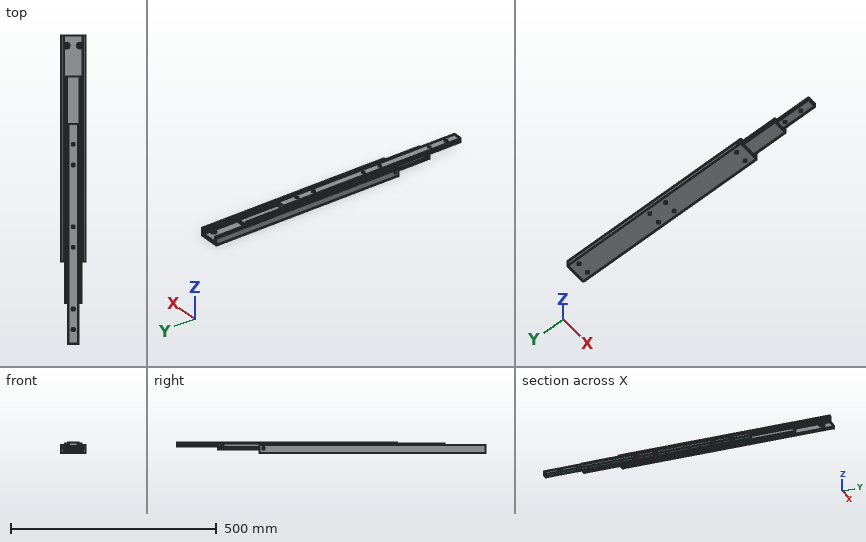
import cadquery as cq

extension_step = 100.0
rail_length = 550.0
inner_length = 535.0
inner_start = 0.0
middle_start = inner_start + extension_step
outer_start = middle_start + extension_step

outer_width = 60.0
outer_height = 20.0
outer_wall = 7.0
outer_floor = 6.0
outer_chamfer = 0.5
outer_inside = outer_width - 2 * outer_wall

middle_width = 40.0
middle_bottom = 8.0
middle_top = 23.0
middle_wall = 5.0
middle_floor_top = 14.0
middle_inside = middle_width - 2 * middle_wall

inner_width = 25.0
inner_bottom = 16.0
inner_top = 26.0

lower_race_height = 12.0
lower_race_width = 4.5
lower_race_depth = 0.8

upper_race_height = 20.5
upper_race_width = 5.0
middle_inside_race_depth = 1.0
inner_race_depth = 1.5

mount_spacing = 32.0
mount_hole_diameter = 6.5
mount_head_diameter = 13.0
mount_head_angle = 90.0
mount_offsets = [25.0, 250.0, 300.0, 525.0]

stop_hole_offset = 10.0
stop_hole_diameter = 4.0
outer_stop_height = 11.5
middle_stop_height = 19.0

inner_hole_diameter = 6.5
inner_hole_first = 35.0
inner_pair_gap = 50.0
inner_pair_pitch = 200.0
inner_pair_count = 3


def section(start):
    """XZ sketch plane at the front end of a rail."""
    return cq.Workplane("XZ", origin=(0, start, 0))


def bar(width, bottom, top, start, length):
    """Rectangular bar centred on X = 0 and running in +Y from start."""
    height = top - bottom
    return section(start).center(0, bottom + height / 2).rect(width, height).extrude(-length)


def races(side, height, width, depth, start, length):
    """Mirrored pair of V-groove cutters on the faces X = +side and X = -side.

    A positive depth cuts away from the centre plane, a negative one towards it.
    """
    groove = (
        section(start)
        .moveTo(side, height - width / 2)
        .lineTo(side + depth, height)
        .lineTo(side, height + width / 2)
        .close()
        .extrude(-length)
    )
    return groove.union(groove.mirror("YZ"))


def lower_races(side, depth, start):
    return races(side, lower_race_height, lower_race_width, depth, start, rail_length)


def upper_races(side, depth, start, length):
    return races(side, upper_race_height, upper_race_width, depth, start, length)


def stop_hole(start, height):
    """Cross bore along X through both side walls of a channel."""
    return (
        cq.Workplane("YZ")
        .center(start + stop_hole_offset, height)
        .circle(stop_hole_diameter / 2)
        .extrude(outer_width, both=True)
    )


def make_outer_rail():
    rail = bar(outer_width, 0, outer_height, outer_start, rail_length)
    rail = rail.edges("|Y and >Z").chamfer(outer_chamfer)
    rail = rail.cut(bar(outer_inside, outer_floor, outer_height, outer_start, rail_length))
    rail = rail.cut(lower_races(outer_inside / 2, lower_race_depth, outer_start))
    rail = rail.cut(stop_hole(outer_start, outer_stop_height))
    mounts = [
        (side * mount_spacing / 2, outer_start + offset)
        for offset in mount_offsets
        for side in (-1, 1)
    ]
    return (
        rail.copyWorkplane(cq.Workplane("XY", origin=(0, 0, outer_floor)))
        .pushPoints(mounts)
        .cskHole(mount_hole_diameter, mount_head_diameter, mount_head_angle)
    )


def make_middle_rail():
    rail = bar(middle_width, middle_bottom, middle_top, middle_start, rail_length)
    rail = rail.cut(bar(middle_inside, middle_floor_top, middle_top, middle_start, rail_length))
    rail = rail.cut(lower_races(middle_width / 2, -lower_race_depth, middle_start))
    rail = rail.cut(upper_races(middle_inside / 2, middle_inside_race_depth, middle_start, rail_length))
    return rail.cut(stop_hole(middle_start, middle_stop_height))


def make_inner_rail():
    rail = bar(inner_width, inner_bottom, inner_top, inner_start, inner_length)
    rail = rail.cut(upper_races(inner_width / 2, -inner_race_depth, inner_start, inner_length))
    holes = [
        (0, inner_start + inner_hole_first + pair * inner_pair_pitch + end * inner_pair_gap)
        for pair in range(inner_pair_count)
        for end in (0, 1)
    ]
    bores = (
        cq.Workplane("XY", origin=(0, 0, inner_bottom))
        .pushPoints(holes)
        .circle(inner_hole_diameter / 2)
        .extrude(inner_top - inner_bottom)
    )
    return rail.cut(bores)


outer_rail = make_outer_rail().solids()
middle_rail = make_middle_rail().solids()
inner_rail = make_inner_rail().solids()

result = cq.Compound.makeCompound([outer_rail.val(), middle_rail.val(), inner_rail.val()])